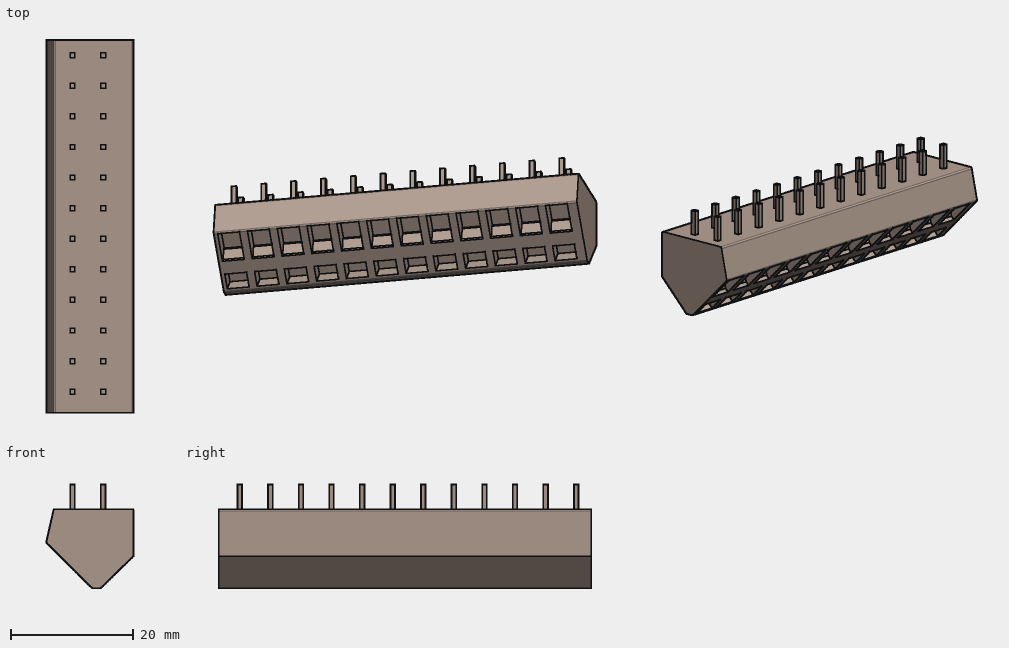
import cadquery as cq
import math

module_count = 12
module_pitch = 5.0
end_plate = 1.0
body_length = module_count * module_pitch + end_plate
first_module_y = body_length / 2 - module_pitch / 2

body_width = 14.35
body_height = 13.0
apex_depth = 5.5
right_side_height = 7.7
left_face_tilt = math.radians(12.7)
top_left_x = apex_depth * math.tan(left_face_tilt)
tip_left_x = 7.55
tip_width = 1.35
tip_right_x = tip_left_x + tip_width
slope_angle = math.atan2(body_height - apex_depth, tip_left_x)
apex_radius = 0.35
top_edge_radius = 0.3
tip_radius = 0.4

pin_size = 0.8
pin_height = 4.0
first_pin_x = 4.35
pin_columns = (first_pin_x, first_pin_x + module_pitch)

pocket_width = 3.65
pocket_depth = 2.85
upper_pocket_start = 0.25
upper_pocket_end = 5.2
lower_pocket_start = 7.5
lower_pocket_end = 10.1

ramp_start_depth = 0.75
ramp_end_depth = 2.45
ramp_angle = math.pi / 2 - slope_angle - left_face_tilt
ramp_rise = (ramp_end_depth - ramp_start_depth) * math.tan(ramp_angle)
upper_floor_end = upper_pocket_end - ramp_rise


def module_y(index):
    """Y of the middle of a module, counted from the +Y end."""
    return first_module_y - index * module_pitch


def slope_point(down, inward):
    """XZ point at a distance down the sloping face and a depth square to it."""
    return (
        down * math.cos(slope_angle) + inward * math.sin(slope_angle),
        -apex_depth - down * math.sin(slope_angle) + inward * math.cos(slope_angle),
    )


def extrude_along_y(points, y_middle, length):
    """Solid with an XZ outline, centred on y_middle."""
    plane = cq.Workplane("XZ", origin=(0, y_middle, 0))
    return plane.polyline(points).close().extrude(length / 2, both=True)


def make_body():
    """Six-sided bar with its blunt tip down and four rounded long edges."""
    outline = [
        (0, -apex_depth),
        (top_left_x, 0),
        (body_width, 0),
        (body_width, -right_side_height),
        (tip_right_x, -body_height),
        (tip_left_x, -body_height),
    ]
    body = extrude_along_y(outline, 0, body_length)
    rounded_edges = [
        (0, -apex_depth, apex_radius),
        (top_left_x, 0, top_edge_radius),
        (body_width, 0, top_edge_radius),
        (tip_left_x, -body_height, tip_radius),
    ]
    for x, z, radius in rounded_edges:
        edge = body.edges(cq.selectors.NearestToPointSelector((x, 0, z)))
        body = edge.fillet(radius)
    return body


def make_pockets(y_middle):
    """Upper stepped pocket and lower plain pocket of one module."""
    upper = [
        slope_point(upper_pocket_start, 0),
        slope_point(upper_pocket_end, 0),
        slope_point(upper_pocket_end, ramp_start_depth),
        slope_point(upper_floor_end, ramp_end_depth),
        slope_point(upper_floor_end, pocket_depth),
        slope_point(upper_pocket_start, pocket_depth),
    ]
    lower = [
        slope_point(lower_pocket_start, 0),
        slope_point(lower_pocket_end, 0),
        slope_point(lower_pocket_end, pocket_depth),
        slope_point(lower_pocket_start, pocket_depth),
    ]
    upper_pocket = extrude_along_y(upper, y_middle, pocket_width)
    return upper_pocket.union(extrude_along_y(lower, y_middle, pocket_width))


def make_pins():
    """Two rows of pins standing on the top face."""
    places = [(x, module_y(i)) for x in pin_columns for i in range(module_count)]
    return cq.Workplane("XY").pushPoints(places).rect(pin_size, pin_size).extrude(pin_height)


result = make_body().union(make_pins())
for module in range(module_count):
    result = result.cut(make_pockets(module_y(module)))